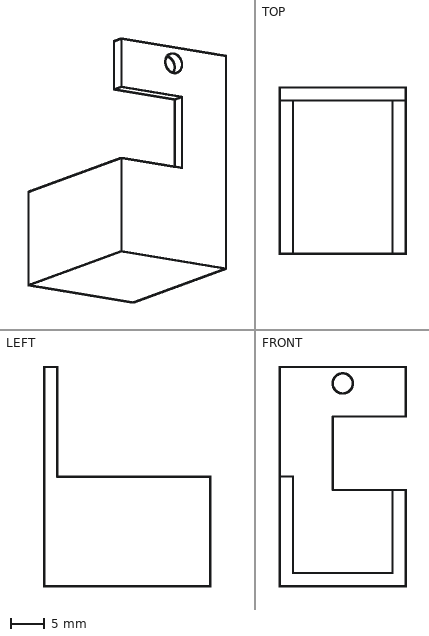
import cadquery as cq

width = 19.0
depth = 25.0
height = 33.0
wall = 2.0

left_wall_height = 16.5
right_wall_height = 14.5

notch_left = 8.0
notch_bottom = right_wall_height
notch_top = 25.5

hole_diameter = 3.0
hole_to_top_edge = 2.5
hole_x = width / 2
hole_z = height - hole_to_top_edge


def block(x_min, y_min, z_min, x_max, y_max, z_max):
    """Box spanning the two given corners."""
    size = (x_max - x_min, y_max - y_min, z_max - z_min)
    return cq.Workplane("XY").box(*size, centered=False).translate((x_min, y_min, z_min))


def make_tray():
    """Floor with a tall left wall and a lower right wall, open at the front."""
    floor = block(0, 0, 0, width, depth, wall)
    left_wall = block(0, 0, 0, wall, depth, left_wall_height)
    right_wall = block(width - wall, 0, 0, width, depth, right_wall_height)
    return floor.union(left_wall).union(right_wall)


def make_back_plate():
    """C-shaped upright plate with a mounting hole near its top edge."""
    back_face = depth - wall
    plate = block(0, back_face, 0, width, depth, height)
    notch = block(notch_left, back_face, notch_bottom, width, depth, notch_top)
    hole = (
        cq.Workplane("XZ", origin=(hole_x, depth, hole_z))
        .circle(hole_diameter / 2)
        .extrude(wall)
    )
    return plate.cut(notch).cut(hole)


result = make_tray().union(make_back_plate()).clean()